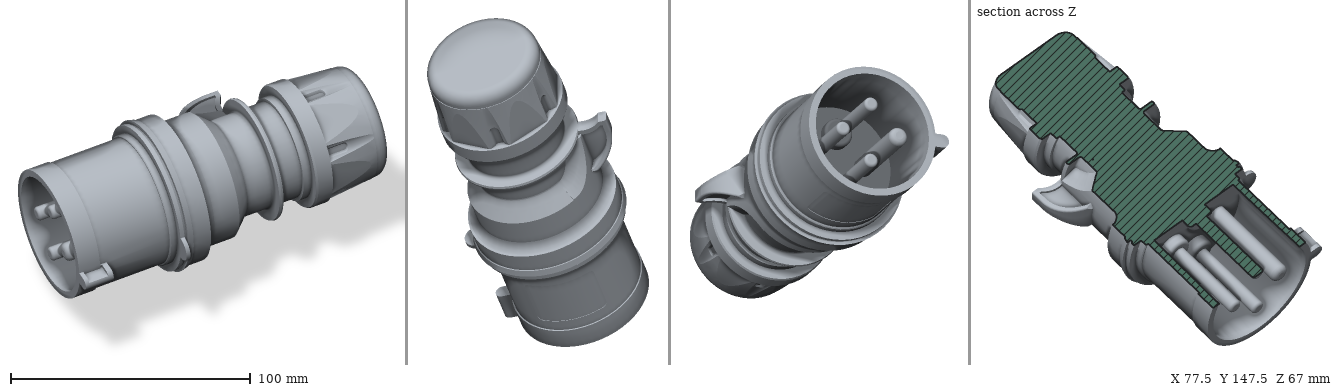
import cadquery as cq
import math

LENGTH = 147.5
OVERLAP = 1.0

RIM_R = 56.9 / 2
RIM_END = 9.75
BODY_R = 55.65 / 2
BORE_MOUTH_R = 25.4
BORE_FLOOR_R = 25.0
BORE_DEPTH = 42.0

STEP_R = 28.8
STEP_START = 42.3
STEP_CHAMFER = 0.4
BAYONET_R = 64.6 / 2
BAYONET_START = 45.5
SEAL_GROOVE_R = 63.6 / 2
SEAL_GROOVE_START = 47.4
LIP_R = 67.0 / 2
LIP_START = 48.5
LIP_BASE_R = 32.8
LIP_END = 51.2
COLLAR_END = 59.5
COLLAR_BLEND_END = 63.4

SHOULDER_START = 75.0
NECK_R = 21.25
NECK_START = 82.3
NECK_FILLET = 0.8
DISC_R = 27.0
DISC_START = 94.3
DISC_END = 96.2
DISC_FILLET = 0.8
DISC_RIM_DRAFT = 0.3
NECK_RING_R = 45.5 / 2
NECK_RING_START = 107.6
CAP_RING_R = 54.6 / 2
CAP_RING_START = 111.3
CAP_RING_CHAMFER = 0.9
GRIP_START = 119.0
GRIP_BASE_R = 26.5
GRIP_END = 141.0
GRIP_END_R = 24.6
DOME_R = 24.35
DOME_ROUND = 4.7

GRIP_SIDES = 6
FLAT_APOTHEM = 24.95
FLAT_TAPER = 0.3
FLUTE_R = 5.0
FLUTE_FLOOR_R = 24.5
SLOT_WIDTH = 4.2
SLOT_END = 129.3
SLOT_FLOOR_R = 23.7
SLOT_TAPER = 30.0

SADDLE_OUTER_EDGE = ((95.3, 3.8), (80.0, 9.2), (60.7, 31.0))
SADDLE_INNER_EDGE = ((95.3, 9.4), (87.0, 12.0), (82.1, 16.0))
SADDLE_INNER_X = -14.0
SADDLE_FOOT_Y = 60.0

HOOK_X = -40.0
HOOK_TOP = 98.9
HOOK_CORNER_Y = 92.0
HOOK_FOOT_Y = 74.6
HOOK_MID = (-37.1, 82.7)
HOOK_FLANGE_MID = (-33.2, 96.7)
HOOK_TIP_LAND = 3.4
HOOK_WALL = 2.3
HOOK_HALF_WIDTH = 2.8
HOOK_FOOT_HALF_WIDTH = 7.2
HOOK_FOOT_ROUND = 1.5
HOOK_ROUND = 0.8
WEB_HALF_WIDTH = 1.5

LUG_R = 5.65
LUG_TIP_X = 37.45
LUG_THICKNESS = 1.8
KEY_HALF_WIDTH = 2.9
KEY_TIP_X = 34.45
KEY_LENGTH = 13.0
KEY_POCKET_X = (28.1, 34.0)
KEY_POCKET_Y = (1.85, 10.7)
KEY_POCKET_DEPTH = 1.5

LABEL_Y = (15.0, 36.5)
LABEL_TOP_Z = -23.4
LABEL_CORNER_R = 2.0
LABEL_DEPTH = 0.2

PIN_CIRCLE_R = 12.5
PIN_TIP_Y = 0.5
PIN_TIP_D = 3.4
PIN_D = 6.0
EARTH_PIN_D = 8.0
PIN_BOSS_D = 12.5
PIN_BOSS_ROUND = 1.4
PIN_BOSS_HEIGHT = 5.0


def cylinder_y(radius, start, end):
    """Cylinder around the plug axis."""
    return cq.Workplane("XZ", origin=(0, start, 0)).circle(radius).extrude(start - end)


def prism_yz(outline, x_start, depth):
    """Extrude an outline function drawn in (Y, Z) towards +X."""
    return outline(cq.Workplane("YZ", origin=(x_start, 0, 0))).extrude(depth)


def make_turned_body():
    """Sleeve, collars, body, disc, neck and cap; the body runs at full radius up to the disc."""
    dome_edge = LENGTH - DOME_ROUND
    dome_mid = DOME_ROUND * (1 - math.sqrt(0.5))
    blend_width = BAYONET_R - OVERLAP - BODY_R
    blend_height = COLLAR_BLEND_END - COLLAR_END
    blend_mid = (BODY_R + 0.4 * blend_width, COLLAR_END + 0.35 * blend_height)
    profile = (
        cq.Workplane("XY")
        .moveTo(0, 0)
        .lineTo(RIM_R, 0)
        .lineTo(RIM_R, RIM_END)
        .lineTo(BODY_R, RIM_END)
        .lineTo(BODY_R, STEP_START)
        .lineTo(STEP_R - STEP_CHAMFER, STEP_START)
        .lineTo(STEP_R, STEP_START + STEP_CHAMFER)
        .lineTo(STEP_R, BAYONET_START)
        .lineTo(BAYONET_R, BAYONET_START)
        .lineTo(BAYONET_R, SEAL_GROOVE_START)
        .lineTo(SEAL_GROOVE_R, SEAL_GROOVE_START)
        .lineTo(SEAL_GROOVE_R, LIP_START)
        .lineTo(LIP_R, LIP_START)
        .lineTo(LIP_BASE_R, LIP_END)
        .lineTo(BAYONET_R, LIP_END)
        .lineTo(BAYONET_R, COLLAR_END)
        .lineTo(BAYONET_R - OVERLAP, COLLAR_END)
        .threePointArc(blend_mid, (BODY_R, COLLAR_BLEND_END))
        .lineTo(BODY_R, DISC_START)
        .lineTo(DISC_R - DISC_RIM_DRAFT, DISC_START)
        .lineTo(DISC_R, (DISC_START + DISC_END) / 2)
        .lineTo(DISC_R - DISC_RIM_DRAFT, DISC_END)
        .lineTo(NECK_R + DISC_FILLET, DISC_END)
        .radiusArc((NECK_R, DISC_END + DISC_FILLET), DISC_FILLET)
        .lineTo(NECK_R, NECK_RING_START)
        .lineTo(NECK_RING_R, NECK_RING_START)
        .lineTo(NECK_RING_R, CAP_RING_START)
        .lineTo(CAP_RING_R - CAP_RING_CHAMFER / 2, CAP_RING_START)
        .lineTo(CAP_RING_R, CAP_RING_START + CAP_RING_CHAMFER)
        .lineTo(CAP_RING_R, GRIP_START)
        .lineTo(DOME_R - OVERLAP, GRIP_START)
        .lineTo(DOME_R - OVERLAP, GRIP_END)
        .lineTo(DOME_R, GRIP_END)
        .lineTo(DOME_R, dome_edge)
        .threePointArc((DOME_R - dome_mid, LENGTH - dome_mid), (DOME_R - DOME_ROUND, LENGTH))
        .lineTo(0, LENGTH)
        .close()
    )
    return profile.revolve(360, (0, 0, 0), (0, 1, 0))


def make_flute_tool():
    """Round flute along the grip with a tapered slot in its floor, on the +X side."""
    grip_length = GRIP_END - GRIP_START
    flute = (
        cq.Workplane("XZ", origin=(0, GRIP_START, 0))
        .center(FLUTE_FLOOR_R + FLUTE_R, 0)
        .circle(FLUTE_R)
        .extrude(-grip_length)
    )
    half = SLOT_WIDTH / 2
    edge_r = FLUTE_FLOOR_R + FLUTE_R - math.sqrt(FLUTE_R**2 - half**2)
    slot = (
        cq.Workplane("YZ", origin=(edge_r, 0, 0))
        .moveTo(GRIP_START - half, -half)
        .lineTo(SLOT_END - half, -half)
        .threePointArc((SLOT_END, 0), (SLOT_END - half, half))
        .lineTo(GRIP_START - half, half)
        .close()
        .extrude(-(edge_r - SLOT_FLOOR_R), taper=SLOT_TAPER)
    )
    above_ring = cylinder_y(BAYONET_R, GRIP_START, GRIP_END)
    return flute.union(slot.intersect(above_ring))


def make_grip():
    """Conical grip with six flats and a slotted flute between each two of them."""
    grip = (
        cq.Workplane("XY")
        .moveTo(0, GRIP_START)
        .lineTo(GRIP_BASE_R, GRIP_START)
        .lineTo(GRIP_END_R, GRIP_END)
        .lineTo(0, GRIP_END)
        .close()
        .revolve(360, (0, 0, 0), (0, 1, 0))
    )
    hexagon = (
        cq.Workplane("XZ", origin=(0, GRIP_START, 0))
        .polygon(GRIP_SIDES, 2 * FLAT_APOTHEM, circumscribed=True)
        .extrude(GRIP_START - GRIP_END, taper=FLAT_TAPER)
    )
    grip = grip.intersect(hexagon)
    flute_tool = make_flute_tool()
    for index in range(GRIP_SIDES):
        angle = (index + 0.5) * 360 / GRIP_SIDES
        grip = grip.cut(flute_tool.rotate((0, 0, 0), (0, 1, 0), angle))
    return grip


def saddle_section(edge, x):
    """Closed outline of the saddle at one X, mirrored about the plane Z = 0."""
    (top_y, top_z), (mid_y, mid_z), (low_y, low_z) = edge
    return (
        cq.Workplane("YZ", origin=(x, 0, 0))
        .moveTo(top_y, -top_z)
        .lineTo(top_y, top_z)
        .threePointArc((mid_y, mid_z), (low_y, low_z))
        .lineTo(SADDLE_FOOT_Y, low_z)
        .lineTo(SADDLE_FOOT_Y, -low_z)
        .lineTo(low_y, -low_z)
        .threePointArc((mid_y, -mid_z), (top_y, -top_z))
        .close()
        .val()
    )


def make_neck_tool():
    """Ring that turns the body down to the neck and shoulder, leaving the saddle standing."""
    outside_r = BODY_R + OVERLAP
    slope = (BODY_R - NECK_R) / (NECK_START - SHOULDER_START)
    ring = (
        cq.Workplane("XY")
        .moveTo(NECK_R, DISC_START)
        .lineTo(NECK_R, NECK_START)
        .lineTo(outside_r, SHOULDER_START - OVERLAP / slope)
        .lineTo(outside_r, DISC_START)
        .close()
        .revolve(360, (0, 0, 0), (0, 1, 0))
    )
    ring = ring.edges(cq.selectors.RadiusNthSelector(0)).fillet(NECK_FILLET)
    outer = saddle_section(SADDLE_OUTER_EDGE, -outside_r)
    inner = saddle_section(SADDLE_INNER_EDGE, SADDLE_INNER_X)
    saddle = cq.Workplane(cq.Solid.makeLoft([outer, inner], True))
    return ring.cut(saddle)


def hook_outline(inset):
    """Side shape of the hook in (X, Y), with its outer edges moved inwards by `inset`."""
    root_x = -BODY_R + OVERLAP
    diagonal_inset = inset * math.sqrt(0.5)
    return (
        cq.Workplane("XY")
        .moveTo(root_x, DISC_END - inset)
        .lineTo(-BODY_R, DISC_END - inset)
        .threePointArc(
            (HOOK_FLANGE_MID[0], HOOK_FLANGE_MID[1] - inset),
            (HOOK_X + HOOK_TIP_LAND, HOOK_TOP - inset),
        )
        .lineTo(HOOK_X + inset, HOOK_TOP - inset)
        .lineTo(HOOK_X + inset, HOOK_CORNER_Y)
        .threePointArc(
            (HOOK_MID[0] + diagonal_inset, HOOK_MID[1] + diagonal_inset),
            (-BODY_R, HOOK_FOOT_Y + inset),
        )
        .lineTo(root_x, HOOK_FOOT_Y + inset)
        .close()
    )


def make_hook():
    """Curved band that flares towards its foot, closed by a thin web."""
    wide_y = HOOK_FOOT_Y + HOOK_FOOT_ROUND

    def half_front_outline(plane):
        return (
            plane.moveTo(HOOK_TOP, 0)
            .lineTo(HOOK_TOP, HOOK_HALF_WIDTH)
            .lineTo(HOOK_CORNER_Y, HOOK_HALF_WIDTH)
            .tangentArcPoint((wide_y, HOOK_FOOT_HALF_WIDTH), relative=False)
            .lineTo(HOOK_FOOT_Y, HOOK_FOOT_HALF_WIDTH - HOOK_FOOT_ROUND)
            .lineTo(HOOK_FOOT_Y, 0)
            .close()
        )

    half_front = prism_yz(half_front_outline, HOOK_X, -HOOK_X)
    front = half_front.union(half_front.mirror("XY"))
    outer = hook_outline(0).extrude(HOOK_FOOT_HALF_WIDTH, both=True)
    inner = hook_outline(HOOK_WALL).extrude(HOOK_FOOT_HALF_WIDTH, both=True)
    solid_hook = outer.intersect(front)
    rounded_hook = solid_hook.edges("%BSPLINE or (<X and |Y)").fillet(HOOK_ROUND)
    band = rounded_hook.cut(inner)
    web = hook_outline(HOOK_WALL / 2).extrude(WEB_HALF_WIDTH, both=True)
    return band.union(web)


def make_radial_key(half_width, tip_x, start, end):
    """Round-ended key that sticks out towards +X."""
    root_x = BORE_MOUTH_R + OVERLAP
    centre_x = tip_x - half_width
    return (
        cq.Workplane("XZ", origin=(0, start, 0))
        .moveTo(root_x, -half_width)
        .lineTo(centre_x, -half_width)
        .threePointArc((tip_x, 0), (centre_x, half_width))
        .lineTo(root_x, half_width)
        .close()
        .extrude(start - end)
    )


def make_key():
    """Key at the sleeve rim with a shallow pocket in its +Z side."""
    key = make_radial_key(KEY_HALF_WIDTH, KEY_TIP_X, 0, KEY_LENGTH)
    pocket = cq.Workplane("XY").box(
        KEY_POCKET_X[1] - KEY_POCKET_X[0],
        KEY_POCKET_Y[1] - KEY_POCKET_Y[0],
        KEY_POCKET_DEPTH,
        centered=False,
    )
    pocket = pocket.translate((KEY_POCKET_X[0], KEY_POCKET_Y[0], KEY_HALF_WIDTH - KEY_POCKET_DEPTH))
    return key.cut(pocket)


def make_bore():
    """Slightly tapered bore of the sleeve."""
    return (
        cq.Workplane("XY")
        .moveTo(0, 0)
        .lineTo(BORE_MOUTH_R, 0)
        .lineTo(BORE_FLOOR_R, BORE_DEPTH)
        .lineTo(0, BORE_DEPTH)
        .close()
        .revolve(360, (0, 0, 0), (0, 1, 0))
    )


def make_pin(diameter, angle_deg, has_boss):
    """Round-tipped contact pin, with or without a boss on the bore floor."""
    floor = BORE_DEPTH + OVERLAP
    pin = cylinder_y(diameter / 2, PIN_TIP_Y, floor)
    pin = pin.faces("<Y").edges().fillet((diameter - PIN_TIP_D) / 2)
    if has_boss:
        boss = cylinder_y(PIN_BOSS_D / 2, BORE_DEPTH - PIN_BOSS_HEIGHT, floor)
        pin = pin.union(boss.faces("<Y").edges().fillet(PIN_BOSS_ROUND))
    angle = math.radians(angle_deg)
    return pin.translate((PIN_CIRCLE_R * math.cos(angle), 0, PIN_CIRCLE_R * math.sin(angle)))


def make_label_tool():
    """Shallow round-cornered recess that follows the underside of the sleeve."""
    half_width = math.sqrt(BODY_R**2 - LABEL_TOP_Z**2)
    length = LABEL_Y[1] - LABEL_Y[0]
    window = (
        cq.Workplane("XY", origin=(0, sum(LABEL_Y) / 2, 0))
        .rect(2 * half_width, length)
        .extrude(-RIM_R)
        .edges("|Z")
        .fillet(LABEL_CORNER_R)
    )
    return window.cut(cylinder_y(BODY_R - LABEL_DEPTH, 0, BAYONET_START))


result = make_turned_body().cut(make_neck_tool()).union(make_grip()).union(make_hook())
result = result.union(make_key())
result = result.union(
    make_radial_key(LUG_R, LUG_TIP_X, BAYONET_START, BAYONET_START + LUG_THICKNESS)
)
result = result.cut(make_label_tool()).cut(make_bore())
for pin_angle in (90, 180, 270):
    result = result.union(make_pin(PIN_D, pin_angle, True))
result = result.union(make_pin(EARTH_PIN_D, 0, False))